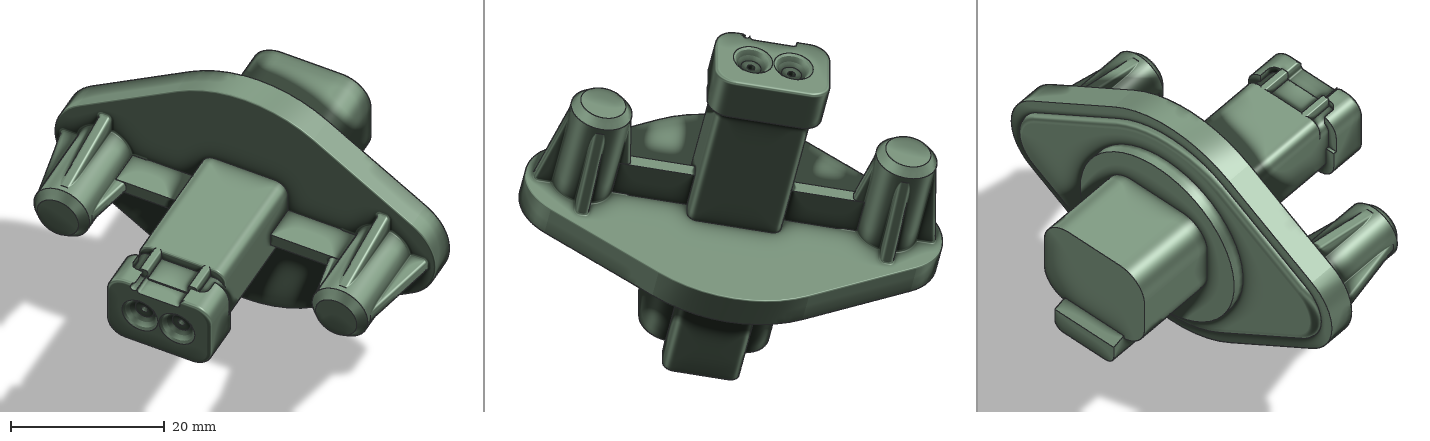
import cadquery as cq
import math


FLANGE_LENGTH = 55.5
FLANGE_HEIGHT = 36.9
CENTRE_RADIUS = FLANGE_HEIGHT / 2
END_RADIUS = 7.5
FLANGE_THICKNESS = 4.05
FLANGE_EDGE_ROUND = 0.2
POST_X = FLANGE_LENGTH / 2 - END_RADIUS

PAD_INSET = 1.85
PAD_REAR_Y = 5.1
PAD_EDGE_ROUND = 1.0
DISC_RADIUS = 13.3
DISC_REAR_Y = 6.9

SHELL_HALF_WIDTH = 8.65
SHELL_TOP_Z = 7.8
SHELL_BOTTOM_Z = -5.75
SHELL_CORNER = 4.3
SHELL_REAR_Y = 19.25
KEY_HALF_WIDTH = 5.1
KEY_TOP_Z = -5.2
KEY_BOTTOM_Z = -9.2
KEY_CORNER = 1.5
KEY_REAR_Y = 21.25
KEY_SLOPE_DROP = 0.6

BODY_HALF_WIDTH = 6.25
BODY_TOP_Z = 5.6
BODY_BOTTOM_Z = -3.95
BODY_TOP_CORNER = 1.95
BODY_BOTTOM_CORNER = 1.4
BODY_FRONT_Y = -18.25

CORE_TOP_Z = 4.3
CORE_CORNER = 1.55

COLLAR_HALF_WIDTH = 7.6
COLLAR_HALF_HEIGHT = 5.245
COLLAR_CORNER = 2.7
COLLAR_REAR_Y = -19.25
COLLAR_UPPER_SETBACK = 0.5
COLLAR_FRONT_Y = -25.05
COLLAR_EDGE_ROUND = 0.5

WINDOW_HALF_WIDTH = 5.55
WINDOW_FRONT_Y = -22.25
WINDOW_CORNER = 1.1
BLADE_OUTER_X = 4.15
BLADE_INNER_X = 2.95
BLADE_EDGE_ROUND = 0.35

CHANNEL_HALF_WIDTH = 3.1
CHANNEL_FLOOR_Z = 4.05
CHANNEL_BLEND = 0.5

SOCKET_X = 2.69
PIN_HOLE_RADIUS = 0.5
PIN_HOLE_DEPTH = 2.8
SOCKET_STEPS = [(2.6, 0), (2.3, 0.3), (1.85, 0.85), (1.35, 1.35)]

POST_RADIUS = 4.05
POST_FRONT_Y = -13.9
POST_TIP_RADIUS = 3.0
POST_FOOT_ROUND = 0.35
POST_TIP_LENGTH = 1.1
RIB_REACH = 6.5
RIB_FRONT_Y = -12.0
RIB_THICKNESS = 1.8
RIB_CREST_ROUND = 0.6
RIB_SIDE_ROUND = 0.2

BAR_HEIGHT = 1.9
BAR_FRONT_Y = -5.05

OVERLAP = 0.55
PICK_MARGIN = 0.05


def slab(outline, start_y, end_y):
    """Extrude a closed XZ outline from start_y to end_y."""
    return outline.extrude(start_y - end_y)


def plane_at(y):
    """XZ workplane at the given y; its normal points towards -Y."""
    return cq.Workplane("XZ", origin=(0, y, 0))


def hull_outline(y, inset=0.0):
    """Flange outline, moved inwards by inset."""
    big = CENTRE_RADIUS - inset
    small = END_RADIUS - inset
    sine = (CENTRE_RADIUS - END_RADIUS) / POST_X
    cosine = math.sqrt(1 - sine**2)
    big_x, big_z = big * sine, big * cosine
    small_x, small_z = POST_X + small * sine, small * cosine
    return (
        plane_at(y)
        .moveTo(-big_x, big_z)
        .threePointArc((0, big), (big_x, big_z))
        .lineTo(small_x, small_z)
        .threePointArc((POST_X + small, 0), (small_x, -small_z))
        .lineTo(big_x, -big_z)
        .threePointArc((0, -big), (-big_x, -big_z))
        .lineTo(-small_x, -small_z)
        .threePointArc((-POST_X - small, 0), (-small_x, small_z))
        .close()
    )


def rounded_bar(half_width, bottom_z, top_z, rear_y, front_y, top_corner, bottom_corner):
    """Bar along Y with separately rounded top and bottom corners."""
    bar = cq.Workplane("XY").box(
        2 * half_width, rear_y - front_y, top_z - bottom_z, centered=(True, False, False)
    ).translate((0, front_y, bottom_z))
    if top_corner:
        bar = bar.edges("|Y and >Z").fillet(top_corner)
    if bottom_corner:
        bar = bar.edges("|Y and <Z").fillet(bottom_corner)
    return bar


def make_flange():
    flange = slab(hull_outline(FLANGE_THICKNESS), FLANGE_THICKNESS, 0)
    flange = flange.faces("<Y").edges().fillet(FLANGE_EDGE_ROUND)
    pad = slab(hull_outline(PAD_REAR_Y, PAD_INSET), PAD_REAR_Y, FLANGE_THICKNESS)
    pad = pad.faces(">Y").edges().fillet(PAD_EDGE_ROUND)
    disc = slab(plane_at(DISC_REAR_Y).circle(DISC_RADIUS), DISC_REAR_Y, FLANGE_THICKNESS)
    return flange.union(pad).union(disc)


def make_shell():
    shell = rounded_bar(
        SHELL_HALF_WIDTH, SHELL_BOTTOM_Z, SHELL_TOP_Z,
        SHELL_REAR_Y, DISC_REAR_Y - OVERLAP, SHELL_CORNER, SHELL_CORNER,
    )
    key = rounded_bar(
        KEY_HALF_WIDTH, KEY_BOTTOM_Z, KEY_TOP_Z,
        KEY_REAR_Y, DISC_REAR_Y - OVERLAP, 0, KEY_CORNER,
    )
    slope = (
        cq.Workplane("YZ")
        .polyline([
            (SHELL_REAR_Y, KEY_TOP_Z),
            (KEY_REAR_Y, KEY_TOP_Z),
            (KEY_REAR_Y, KEY_TOP_Z - KEY_SLOPE_DROP),
        ])
        .close()
        .extrude(KEY_HALF_WIDTH, both=True)
    )
    return shell.union(key.cut(slope))


def make_collar():
    collar = rounded_bar(
        COLLAR_HALF_WIDTH, -COLLAR_HALF_HEIGHT, COLLAR_HALF_HEIGHT,
        COLLAR_REAR_Y, COLLAR_FRONT_Y, COLLAR_CORNER, COLLAR_CORNER,
    )
    collar = collar.faces("<Y").edges().fillet(COLLAR_EDGE_ROUND)
    setback = cq.Workplane("XY").box(
        2 * COLLAR_HALF_WIDTH, COLLAR_UPPER_SETBACK, COLLAR_HALF_HEIGHT, centered=(True, False, False)
    ).translate((0, COLLAR_REAR_Y - COLLAR_UPPER_SETBACK, 0))
    window = cq.Workplane("XY").box(
        2 * WINDOW_HALF_WIDTH, COLLAR_REAR_Y - WINDOW_FRONT_Y, COLLAR_HALF_HEIGHT,
        centered=(True, False, False),
    ).edges("|Z and <Y").fillet(WINDOW_CORNER).translate((0, WINDOW_FRONT_Y, 0))
    top_z = COLLAR_HALF_HEIGHT
    foot_x = CHANNEL_HALF_WIDTH - CHANNEL_BLEND
    lip_x = CHANNEL_HALF_WIDTH + CHANNEL_BLEND
    channel = slab(
        plane_at(WINDOW_FRONT_Y)
        .moveTo(-foot_x, CHANNEL_FLOOR_Z)
        .lineTo(foot_x, CHANNEL_FLOOR_Z)
        .tangentArcPoint((CHANNEL_HALF_WIDTH, CHANNEL_FLOOR_Z + CHANNEL_BLEND), relative=False)
        .lineTo(CHANNEL_HALF_WIDTH, top_z - CHANNEL_BLEND)
        .tangentArcPoint((lip_x, top_z), relative=False)
        .lineTo(-lip_x, top_z)
        .tangentArcPoint((-CHANNEL_HALF_WIDTH, top_z - CHANNEL_BLEND), relative=False)
        .lineTo(-CHANNEL_HALF_WIDTH, CHANNEL_FLOOR_Z + CHANNEL_BLEND)
        .tangentArcPoint((-foot_x, CHANNEL_FLOOR_Z), relative=False)
        .close(),
        WINDOW_FRONT_Y, COLLAR_FRONT_Y,
    )
    core = rounded_bar(
        BODY_HALF_WIDTH, BODY_BOTTOM_Z, CORE_TOP_Z,
        BODY_FRONT_Y + OVERLAP, WINDOW_FRONT_Y, CORE_CORNER, BODY_BOTTOM_CORNER,
    )
    return collar.cut(setback).cut(window).cut(channel).union(core)


def make_body():
    """Body whose top reaches forward as two round-edged blades."""
    body = rounded_bar(
        BODY_HALF_WIDTH, BODY_BOTTOM_Z, BODY_TOP_Z,
        FLANGE_THICKNESS, WINDOW_FRONT_Y, BODY_TOP_CORNER, BODY_BOTTOM_CORNER,
    )
    front_block = cq.Workplane("XY").box(
        2 * BODY_HALF_WIDTH, BODY_FRONT_Y - WINDOW_FRONT_Y, BODY_TOP_Z - BODY_BOTTOM_Z,
        centered=(True, False, False),
    ).translate((0, WINDOW_FRONT_Y, BODY_BOTTOM_Z))
    blade_x = (BLADE_OUTER_X + BLADE_INNER_X) / 2
    for side in (-1, 1):
        blade = cq.Workplane("XY").box(
            BLADE_OUTER_X - BLADE_INNER_X, BODY_FRONT_Y - WINDOW_FRONT_Y, BODY_TOP_Z - BODY_BOTTOM_Z,
            centered=(True, False, False),
        ).translate((side * blade_x, WINDOW_FRONT_Y, BODY_BOTTOM_Z))
        front_block = front_block.cut(blade)
    body = body.cut(front_block)
    top_front_edges = cq.selectors.BoxSelector(
        (-BODY_HALF_WIDTH, WINDOW_FRONT_Y + OVERLAP, BODY_TOP_Z - OVERLAP),
        (BODY_HALF_WIDTH, BODY_FRONT_Y + OVERLAP, BODY_TOP_Z + OVERLAP),
    )
    body = body.edges(top_front_edges).fillet(BLADE_EDGE_ROUND)
    return body.union(make_collar())


def make_socket():
    """Stepped socket cutter, revolved about the Y axis."""
    _, floor_depth = SOCKET_STEPS[-1]
    profile = [
        (0, 0),
        *SOCKET_STEPS,
        (PIN_HOLE_RADIUS, floor_depth),
        (PIN_HOLE_RADIUS, PIN_HOLE_DEPTH),
        (0, PIN_HOLE_DEPTH),
    ]
    cutter = cq.Workplane("XY").polyline(profile).close().revolve(360, (0, 0), (0, 1))
    return cutter.translate((0, COLLAR_FRONT_Y, 0))


def make_post():
    """Post on the Y axis with four ribs that taper into it."""
    post = slab(plane_at(FLANGE_THICKNESS).circle(POST_RADIUS), FLANGE_THICKNESS, POST_FRONT_Y)
    post = post.faces("<Y").chamfer(POST_TIP_LENGTH, POST_RADIUS - POST_TIP_RADIUS)
    rib = (
        cq.Workplane("XY")
        .polyline([
            (0, 0),
            (RIB_REACH, 0),
            (POST_RADIUS, RIB_FRONT_Y),
            (0, RIB_FRONT_Y),
        ])
        .close()
        .extrude(RIB_THICKNESS / 2, both=True)
    )
    rib = rib.faces(">X").edges("not |Z").fillet(RIB_CREST_ROUND)
    for quarter in range(4):
        post = post.union(rib.rotate((0, 0, 0), (0, 1, 0), 90 * quarter))
    corner_x = math.sqrt(POST_RADIUS**2 - (RIB_THICKNESS / 2) ** 2)
    for _ in range(4):
        for corner_z in (-RIB_THICKNESS / 2, RIB_THICKNESS / 2):
            rib_corner = cq.selectors.BoxSelector(
                (corner_x - PICK_MARGIN, POST_FRONT_Y, corner_z - PICK_MARGIN),
                (corner_x + PICK_MARGIN, 0, corner_z + PICK_MARGIN),
            )
            post = post.edges(rib_corner).edges("|Y").fillet(RIB_SIDE_ROUND)
        post = post.rotate((0, 0, 0), (0, 1, 0), 90)
    return post


def make_bars():
    return cq.Workplane("XY").box(
        2 * POST_X, -BAR_FRONT_Y, BAR_HEIGHT, centered=(True, False, True)
    ).translate((0, BAR_FRONT_Y, 0))


def make_flange_with_posts():
    """Flange and posts, with the foot of every post and rib rounded into the flange."""
    plate = make_flange()
    for side in (-1, 1):
        plate = plate.union(make_post().translate((side * POST_X, 0, 0)))
        foot_reach = RIB_REACH + POST_FOOT_ROUND
        foot_edges = cq.selectors.BoxSelector(
            (side * POST_X - foot_reach, -PICK_MARGIN, -foot_reach),
            (side * POST_X + foot_reach, PICK_MARGIN, foot_reach),
        )
        plate = plate.edges(foot_edges).fillet(POST_FOOT_ROUND)
    return plate


result = make_flange_with_posts().union(make_shell()).union(make_bars()).union(make_body())
for side in (-1, 1):
    result = result.cut(make_socket().translate((side * SOCKET_X, 0, 0)))